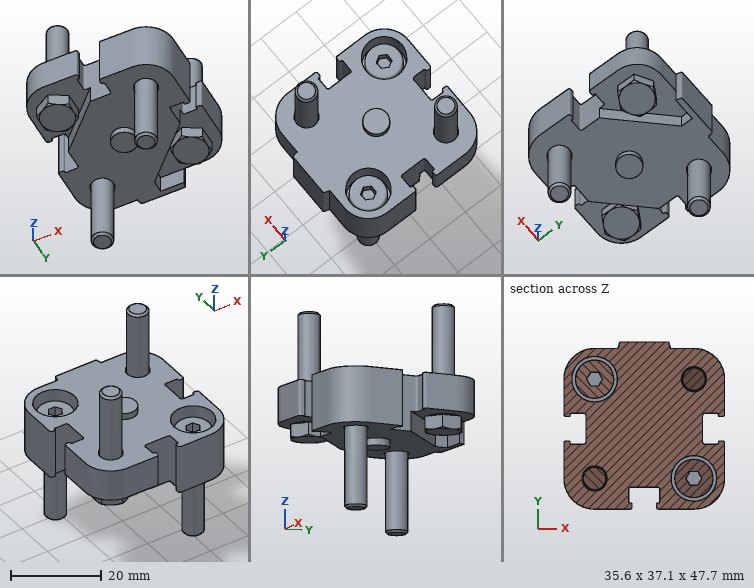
import cadquery as cq
import math

width = 35.6
thickness = 12.6
screw_spacing = 21.95
half_width = width / 2
half_spacing = screw_spacing / 2
corner_radius = half_width - half_spacing

tongue_height = 1.45
tongue_base_width = 11.65
tongue_tip_width = 10.88
tongue_fillet = 0.4

slot_depth = 4.85
slot_width = 6.75
slot_mouth_width = 5.4
slot_lip = 1.45
slot_floor_fillet = 0.5
lip_root_fillet = 0.25
lip_inner_fillet = 0.3
lip_outer_fillet = 0.5

boss_diameter = 6.0
boss_height = 1.6

hole_diameter = 5.5
counterbore_diameter = 10.0
corner_recess_height = 4.55
corner_recess_reach = 14.8

shank_diameter = 5.0
shank_length = 25.0
tip_chamfer = 0.52

socket_head_diameter = 8.5
socket_head_height = 3.5
socket_head_fillet = 0.52
socket_across_flats = 3.0
socket_depth = 2.3

hex_head_across_flats = 8.0
hex_head_height = 3.5
hex_head_turn = 30.0
washer_face_diameter = 6.85
washer_face_height = 0.4
hex_chamfer_angle = 30.0

overall_height = 47.7
hex_seat_z = corner_recess_height
socket_seat_z = hex_seat_z + 2 * shank_length - overall_height

hex_bolt_places = [(-half_spacing, -half_spacing), (half_spacing, half_spacing)]
socket_screw_places = [(-half_spacing, half_spacing), (half_spacing, -half_spacing)]


def make_tongue():
    base_y = half_width
    tip_y = half_width + tongue_height
    tongue = (
        cq.Workplane("XY")
        .polyline([
            (-tongue_base_width / 2, base_y),
            (tongue_base_width / 2, base_y),
            (tongue_tip_width / 2, tip_y),
            (-tongue_tip_width / 2, tip_y),
        ])
        .close()
        .extrude(thickness)
    )
    return tongue.edges("|Z").edges(">Y").fillet(tongue_fillet)


def round_edge_pair(cutter, x, y, radius):
    """Round the two vertical edges of the cutter that stand at (x, y) and (-x, y)."""
    for side in (-1, 1):
        edge_middle = (side * x, y, thickness / 2)
        cutter = cutter.edges(cq.selectors.NearestToPointSelector(edge_middle)).fillet(radius)
    return cutter


def make_slot_cutter():
    """T-slot opening on the -Y side, with a block outside it so that the lips can be rounded."""
    face_y = -half_width
    lip_y = face_y + slot_lip
    floor_y = face_y + slot_depth
    outside_y = face_y - slot_lip
    half_mouth = slot_mouth_width / 2
    half_slot = slot_width / 2
    right_side = [
        (half_slot, outside_y),
        (half_slot, face_y),
        (half_mouth, face_y),
        (half_mouth, lip_y),
        (half_slot, lip_y),
        (half_slot, floor_y),
    ]
    left_side = [(-x, y) for x, y in reversed(right_side)]
    cutter = cq.Workplane("XY").polyline(right_side + left_side).close().extrude(thickness)
    cutter = round_edge_pair(cutter, half_slot, floor_y, slot_floor_fillet)
    cutter = round_edge_pair(cutter, half_slot, lip_y, lip_root_fillet)
    cutter = round_edge_pair(cutter, half_mouth, lip_y, lip_inner_fillet)
    return round_edge_pair(cutter, half_mouth, face_y, lip_outer_fillet)


def make_corner_recess():
    """Prism that clears the underside of the (-X, -Y) corner for a hex head."""
    return (
        cq.Workplane("XY")
        .polyline([
            (-corner_recess_reach, 0),
            (0, -corner_recess_reach),
            (0, -half_width),
            (-half_width, -half_width),
            (-half_width, 0),
        ])
        .close()
        .extrude(corner_recess_height)
    )


def make_housing():
    housing = (
        cq.Workplane("XY")
        .rect(width, width)
        .extrude(thickness)
        .edges("|Z")
        .fillet(corner_radius)
        .union(make_tongue())
    )
    slot = make_slot_cutter()
    for slot_angle in (-90, 0, 90):
        housing = housing.cut(slot.rotate((0, 0, 0), (0, 0, 1), slot_angle))

    boss = (
        cq.Workplane("XY", origin=(0, 0, -boss_height))
        .circle(boss_diameter / 2)
        .extrude(thickness + 2 * boss_height)
    )
    housing = housing.union(boss)

    holes = (
        cq.Workplane("XY")
        .pushPoints(hex_bolt_places + socket_screw_places)
        .circle(hole_diameter / 2)
        .extrude(thickness)
    )
    counterbores = (
        cq.Workplane("XY", origin=(0, 0, socket_seat_z))
        .pushPoints(socket_screw_places)
        .circle(counterbore_diameter / 2)
        .extrude(thickness - socket_seat_z)
    )
    housing = housing.cut(holes).cut(counterbores)

    recess = make_corner_recess()
    for recess_angle in (0, 180):
        housing = housing.cut(recess.rotate((0, 0, 0), (0, 0, 1), recess_angle))
    return housing


def make_shank():
    """Shank running up from z = 0, chamfered at its tip."""
    return (
        cq.Workplane("XY")
        .circle(shank_diameter / 2)
        .extrude(shank_length)
        .faces(">Z")
        .chamfer(tip_chamfer)
    )


def make_hex_bolt(x, y):
    """Hex bolt with its head below the seat and its shank pointing up."""
    across_corners = hex_head_across_flats / math.cos(math.pi / 6)
    corner_overhang = (across_corners - hex_head_across_flats) / 2
    chamfer_drop = corner_overhang * math.tan(math.radians(hex_chamfer_angle))
    prism = (
        cq.Workplane("XY", origin=(0, 0, -hex_head_height))
        .polygon(6, across_corners)
        .extrude(hex_head_height - washer_face_height)
        .rotate((0, 0, 0), (0, 0, 1), hex_head_turn)
    )
    corner_trim = (
        cq.Workplane("XZ")
        .polyline([
            (0, -hex_head_height),
            (hex_head_across_flats / 2, -hex_head_height),
            (across_corners / 2, -hex_head_height + chamfer_drop),
            (across_corners / 2, 0),
            (0, 0),
        ])
        .close()
        .revolve(360, (0, 0, 0), (0, 1, 0))
    )
    washer_face = (
        cq.Workplane("XY", origin=(0, 0, -washer_face_height))
        .circle(washer_face_diameter / 2)
        .extrude(washer_face_height)
    )
    bolt = prism.intersect(corner_trim).union(washer_face).union(make_shank())
    return bolt.translate((x, y, hex_seat_z))


def make_socket_screw(x, y):
    """Socket head screw with its head above the seat and its shank pointing down."""
    socket_across_corners = socket_across_flats / math.cos(math.pi / 6)
    head = (
        cq.Workplane("XY")
        .circle(socket_head_diameter / 2)
        .extrude(socket_head_height)
        .faces(">Z")
        .edges()
        .fillet(socket_head_fillet)
    )
    socket = (
        cq.Workplane("XY", origin=(0, 0, socket_head_height - socket_depth))
        .polygon(6, socket_across_corners)
        .extrude(socket_depth)
    )
    shank = make_shank().rotate((0, 0, 0), (1, 0, 0), 180)
    return head.union(shank).cut(socket).translate((x, y, socket_seat_z))


housing = make_housing()
hex_bolts = [make_hex_bolt(x, y) for x, y in hex_bolt_places]
socket_screws = [make_socket_screw(x, y) for x, y in socket_screw_places]

result = cq.Compound.makeCompound(
    [housing.val()]
    + [bolt.val() for bolt in hex_bolts]
    + [screw.val() for screw in socket_screws]
)